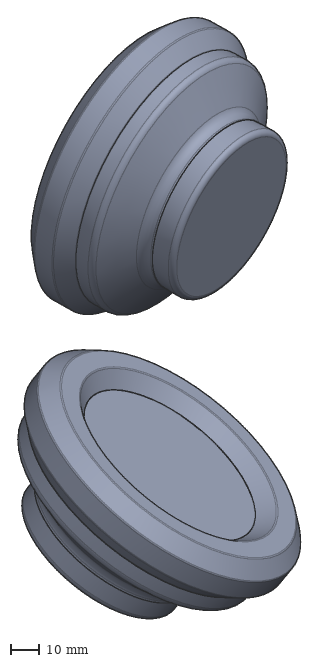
import cadquery as cq
import math

ring_radius = 56.3
ring_width = 20.0
ring_sides = 8
side_angle = 2 * math.pi / ring_sides
ring_corner_radius = 0.8
ring_center_radius = ring_radius - ring_width / 2

hub_length = 50.0
dish_depth = 5.5
flange_radius = 101.0 / 2
shoulder_start = 25.4
shoulder_radius = 2.8
cone_angle = math.radians(60)
neck_radius = 66.6 / 2
neck_fillet = 5.1
spigot_radius = 67.0 / 2
spigot_start = 40.7
spigot_end_fillet = 2.1


def turn(profile):
    """Revolve a closed (X, radius) profile about the X axis."""
    return profile.close().revolve(360, (0, 0, 0), (1, 0, 0))


def make_octagon_ring():
    corner_distance = ring_width / 2 / math.cos(side_angle / 2)
    corners = []
    for i in range(ring_sides):
        angle = side_angle * (i + 0.5)
        x = ring_width / 2 + corner_distance * math.cos(angle)
        radius = ring_center_radius + corner_distance * math.sin(angle)
        corners.append((x, radius))
    ring = turn(cq.Workplane("XY").polyline(corners))
    return ring.edges("%CIRCLE").fillet(ring_corner_radius)


def make_hub(ring):
    sin_cone = math.sin(cone_angle)
    cos_cone = math.cos(cone_angle)
    sin_half = math.sin(cone_angle / 2)
    cos_half = math.cos(cone_angle / 2)

    shoulder_center = flange_radius - shoulder_radius
    shoulder_mid = (shoulder_start + shoulder_radius * sin_half, shoulder_center + shoulder_radius * cos_half)
    cone_start = (shoulder_start + shoulder_radius * sin_cone, shoulder_center + shoulder_radius * cos_cone)

    fillet_center = neck_radius + neck_fillet
    cone_end_radius = fillet_center - neck_fillet * cos_cone
    cone_length = (cone_start[1] - cone_end_radius) / math.tan(cone_angle)
    cone_end = (cone_start[0] + cone_length, cone_end_radius)
    neck_start = cone_end[0] + neck_fillet * sin_cone
    fillet_mid = (neck_start - neck_fillet * sin_half, fillet_center - neck_fillet * cos_half)

    body = turn(
        cq.Workplane("XY")
        .moveTo(dish_depth, 0)
        .lineTo(dish_depth, ring_center_radius)
        .lineTo(ring_width, ring_center_radius)
        .lineTo(ring_width, flange_radius)
        .lineTo(shoulder_start, flange_radius)
        .threePointArc(shoulder_mid, cone_start)
        .lineTo(*cone_end)
        .threePointArc(fillet_mid, (neck_start, neck_radius))
        .lineTo(spigot_start, neck_radius)
        .lineTo(spigot_start, spigot_radius)
        .lineTo(hub_length, spigot_radius)
        .lineTo(hub_length, 0)
    )
    body = body.faces(">X").edges().fillet(spigot_end_fillet)
    return body.cut(ring)


octagon_ring = make_octagon_ring()
hub = make_hub(octagon_ring)
result = cq.Compound.makeCompound([octagon_ring.val(), hub.val()])